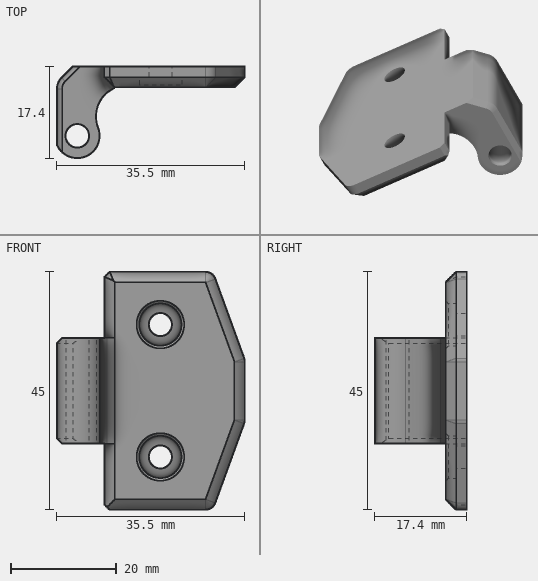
import cadquery as cq
import math


total_width = 35.55
leaf_height = 45.0
leaf_left = 9.0
leaf_thickness = 4.0
rim_chamfer = 2.0
left_corner_chamfer = 1.0
tip_height = 11.7
taper_angle = math.radians(20)
right_corner_radius = 2.02

screw_x = 19.58
screw_spacing = 25.0
screw_diameter = 4.3
counterbore_diameter = 8.0
counterbore_depth = 2.0
countersink_size = 0.5

arm_height = 20.0
arm_chamfer = 1.0
arm_corner_cut = 3.0
arm_corner_radius = 3.0
pin_x = 3.85
pin_y = -13.15
pin_diameter = 4.4
barrel_radius = 4.25
neck_radius = 6.0
neck_center_offset = 3.65
neck_end_x = 9.4


def make_leaf():
    """Tapered plate with a chamfered rim around its front face."""
    half_height = leaf_height / 2
    half_tip = tip_height / 2
    taper_start = total_width - (half_height - half_tip) * math.tan(taper_angle)
    leaf = (
        cq.Workplane("XZ")
        .moveTo(leaf_left, -half_height)
        .lineTo(taper_start, -half_height)
        .lineTo(total_width, -half_tip)
        .lineTo(total_width, half_tip)
        .lineTo(taper_start, half_height)
        .lineTo(leaf_left, half_height)
        .close()
        .extrude(leaf_thickness)
    )
    right_corners = [
        (corner_x, side * corner_z)
        for corner_x, corner_z in ((taper_start, half_height), (total_width, half_tip))
        for side in (-1, 1)
    ]
    for x, z in right_corners:
        corner = cq.selectors.NearestToPointSelector((x, -leaf_thickness / 2, z))
        leaf = leaf.edges(corner).fillet(right_corner_radius)
    leaf = leaf.faces("<Y").edges().chamfer(rim_chamfer)
    return leaf.intersect(make_corner_trim())


def make_corner_trim():
    """Envelope trimming the two left corners of the leaf; only its upper side carries the rim chamfer."""
    apex_x = leaf_left + left_corner_chamfer - leaf_height / 2
    reach = 2 * leaf_height
    upper_front_edge = cq.selectors.NearestToPointSelector((apex_x + reach / 2, -leaf_thickness, reach / 2))
    return (
        cq.Workplane("XZ")
        .moveTo(apex_x, 0)
        .lineTo(apex_x + reach, -reach)
        .lineTo(apex_x + reach, reach)
        .close()
        .extrude(leaf_thickness)
        .edges(upper_front_edge)
        .chamfer(rim_chamfer)
    )


def make_arm():
    """Arm that curves from the leaf to the barrel, with chamfered outer edges."""
    barrel_flat_y = pin_y - math.sqrt(barrel_radius**2 - pin_x**2)
    center_distance = barrel_radius + neck_radius
    neck_x = pin_x + math.sqrt(center_distance**2 - neck_center_offset**2)
    neck_y = pin_y + neck_center_offset
    tangent_x = pin_x + (neck_x - pin_x) * barrel_radius / center_distance
    tangent_y = pin_y + neck_center_offset * barrel_radius / center_distance
    neck_end_y = neck_y + math.sqrt(neck_radius**2 - (neck_x - neck_end_x) ** 2)
    leaf_edge_x = leaf_left + rim_chamfer
    profile = (
        cq.Workplane("XY", origin=(0, 0, -arm_height / 2))
        .lineTo(0, barrel_flat_y)
        .threePointArc((pin_x, pin_y - barrel_radius), (tangent_x, tangent_y))
        .threePointArc((neck_x - neck_radius, neck_y), (neck_end_x, neck_end_y))
        .lineTo(leaf_edge_x, -leaf_thickness)
        .lineTo(leaf_edge_x, 0)
        .close()
        .extrude(arm_height)
    )
    return profile.intersect(make_arm_envelope())


def make_arm_envelope():
    """Oversized block giving the arm its slanted, rounded and chamfered outer side."""
    reach = leaf_height
    return (
        cq.Workplane("XY", origin=(0, 0, -arm_height / 2))
        .moveTo(0, -reach)
        .lineTo(0, -arm_corner_cut)
        .lineTo(reach, reach - arm_corner_cut)
        .lineTo(reach, -reach)
        .close()
        .extrude(arm_height)
        .edges(cq.selectors.NearestToPointSelector((0, -arm_corner_cut, 0)))
        .fillet(arm_corner_radius)
        .faces("|Z")
        .edges()
        .chamfer(arm_chamfer)
    )


def make_screw_cutter(z):
    """Through hole with a counterbore whose mouth is countersunk."""
    bore_radius = counterbore_diameter / 2
    mouth_radius = bore_radius + countersink_size
    bore_floor = counterbore_depth - leaf_thickness
    return (
        cq.Workplane("XY")
        .lineTo(screw_diameter / 2, 0)
        .lineTo(screw_diameter / 2, bore_floor)
        .lineTo(bore_radius, bore_floor)
        .lineTo(bore_radius, countersink_size - leaf_thickness)
        .lineTo(mouth_radius, -leaf_thickness)
        .lineTo(0, -leaf_thickness)
        .close()
        .revolve(360, (0, 0), (0, 1))
        .translate((screw_x, 0, z))
    )


result = make_leaf().union(make_arm())
for screw_z in (-screw_spacing / 2, screw_spacing / 2):
    result = result.cut(make_screw_cutter(screw_z))
pin_hole = (
    cq.Workplane("XY", origin=(pin_x, pin_y, -arm_height / 2))
    .circle(pin_diameter / 2)
    .extrude(arm_height)
)
result = result.cut(pin_hole)